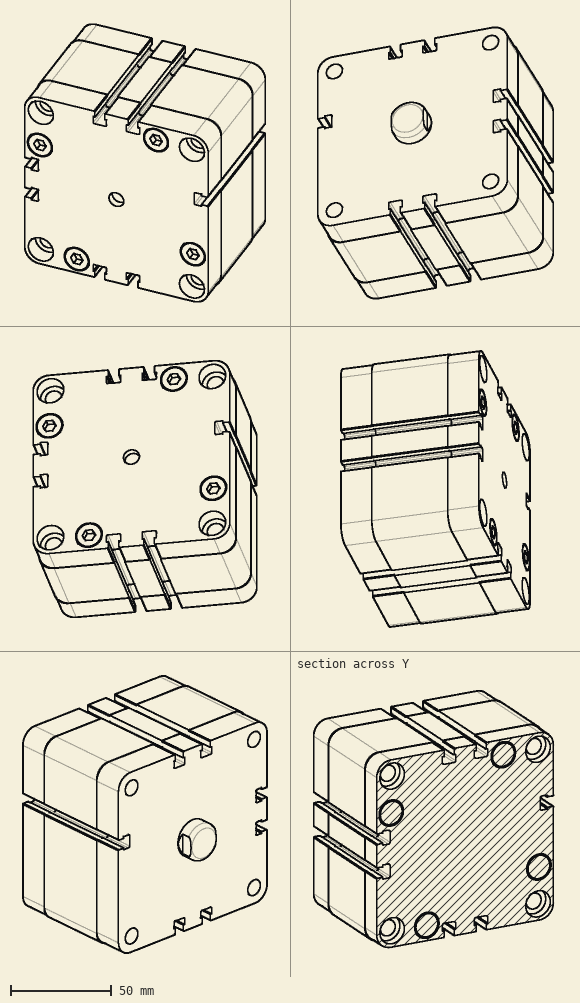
import cadquery as cq
side = 100.0
barrel_corner_radius = 7.7
cap_corner_radius = 8.0
cap_inset = 0.2
cap_side = side - 2 * cap_inset
cap_length = 16.0
barrel_length = 39.0
rod_length = 8.0
housing_length = 2 * cap_length + barrel_length
front_y = -housing_length / 2
back_y = front_y + housing_length

slot_offset = 9.0
single_slot_offset = 12.1
slot_neck_width = 5.3
slot_neck_depth = 3.6
slot_depth = 7.5
slot_width = 7.2
slot_corner_radius = 0.8
slot_mouth_chamfer = 0.4
top_turn, right_turn, bottom_turn, left_turn = 0, 90, 180, 270
slot_layout = {
    top_turn: (-slot_offset, slot_offset),
    right_turn: (-single_slot_offset,),
    bottom_turn: (-slot_offset, slot_offset),
    left_turn: (-slot_offset, slot_offset),
}

hole_pitch = 82.0
hole_diameter = 8.4
hole_recess_diameter = 13.5
hole_recess_depth = 8.6

screw_long_offset = 41.5
screw_short_offset = 21.5
screw_recess_diameter = 13.5
screw_head_diameter = 12.5
screw_head_height = 8.0
hex_corners = 6.6
hex_depth = 4.0

centre_bore_diameter = 8.0
centre_bore_depth = 4.0

rod_diameter = 20.0
rod_end_fillet = 2.0
rod_flats = 16.8
flat_ramp_start = 6.0



def prism(y):
    """Sketch plane at the given Y, with local x and y along X and Z; it extrudes toward +Y if negative."""
    return cq.Workplane("XZ", origin=(0, y, 0))


def turned(shape, angle):
    """Turn a shape about the rod axis; +90 carries the top side to the +X side."""
    return shape.rotate((0, 0, 0), (0, 1, 0), angle)


def slot_cutter(y, length, half_width, offset):
    """T-slot in the top side of a section, centred at X = offset."""
    floor_z = half_width - slot_depth
    pocket_height = slot_depth - slot_neck_depth
    neck = (
        prism(y)
        .center(offset, half_width - slot_depth / 2)
        .rect(slot_neck_width, slot_depth)
        .extrude(-length)
    )
    pocket = (
        prism(y)
        .center(offset, floor_z + pocket_height / 2)
        .rect(slot_width, pocket_height)
        .extrude(-length)
        .edges("|Y and <Z")
        .fillet(slot_corner_radius)
    )
    return neck.union(pocket)


def mouth_cutter(y, length, half_width, offset):
    """V-shaped wedge that chamfers both edges of a slot mouth in the top side."""
    wedge_half = slot_neck_width / 2 + slot_mouth_chamfer
    return (
        prism(y)
        .moveTo(offset - wedge_half, half_width)
        .lineTo(offset, half_width - wedge_half)
        .lineTo(offset + wedge_half, half_width)
        .close()
        .extrude(-length)
    )


def slotted_section(y, length, width, corner_radius, chamfered_angles):
    """Rounded block with T-slots; slot mouths are chamfered on the sides in chamfered_angles."""
    block = prism(y).rect(width, width).extrude(-length)
    block = block.edges("|Y").fillet(corner_radius)
    for angle, offsets in slot_layout.items():
        for offset in offsets:
            block = block.cut(turned(slot_cutter(y, length, width / 2, offset), angle))
            if angle in chamfered_angles:
                block = block.cut(turned(mouth_cutter(y, length, width / 2, offset), angle))
    return block


def mounting_hole_cutter():
    corners = prism(front_y).rect(hole_pitch, hole_pitch, forConstruction=True).vertices()
    through = corners.circle(hole_diameter / 2).extrude(-housing_length)
    front_recess = corners.circle(hole_recess_diameter / 2).extrude(-hole_recess_depth)
    return through.union(front_recess)


def screw_cutter():
    """Ring gaps and hexagon sockets of the four cap screws, a quarter turn apart."""
    u, v = screw_short_offset, screw_long_offset
    centres = prism(front_y).pushPoints([(u, v), (v, -u), (-u, -v), (-v, u)])
    recess = centres.circle(screw_recess_diameter / 2).extrude(-screw_head_height)
    head = centres.circle(screw_head_diameter / 2).extrude(-screw_head_height)
    socket = centres.polygon(6, hex_corners).extrude(-hex_depth)
    return recess.cut(head).union(socket)


def piston_rod():
    rod = prism(back_y).circle(rod_diameter / 2).extrude(-rod_length)
    rod = rod.faces(">Y").edges().fillet(rod_end_fillet)
    flat_x = rod_flats / 2
    rod_end_y = back_y + rod_length
    ramp_y = rod_end_y - flat_ramp_start
    outer_x = rod_diameter / 2 + rod_end_fillet
    flat_cutter = (
        cq.Workplane("XY", origin=(0, 0, -rod_diameter / 2))
        .moveTo(flat_x, rod_end_y)
        .lineTo(flat_x, ramp_y)
        .lineTo(outer_x, ramp_y - (outer_x - flat_x))
        .lineTo(outer_x, rod_end_y)
        .close()
        .extrude(rod_diameter)
    )
    return rod.cut(flat_cutter).cut(flat_cutter.mirror("YZ"))


cap_chamfers = tuple(slot_layout)
barrel_chamfers = (right_turn, left_turn)
barrel_y = front_y + cap_length
rear_cap_y = barrel_y + barrel_length
front_cap = slotted_section(front_y, cap_length, cap_side, cap_corner_radius, cap_chamfers)
barrel = slotted_section(barrel_y, barrel_length, side, barrel_corner_radius, barrel_chamfers)
rear_cap = slotted_section(rear_cap_y, cap_length, cap_side, cap_corner_radius, cap_chamfers)
housing = front_cap.union(barrel).union(rear_cap)

housing = housing.cut(mounting_hole_cutter())
housing = housing.cut(screw_cutter())
housing = housing.cut(prism(front_y).circle(centre_bore_diameter / 2).extrude(-centre_bore_depth))

result = housing.union(piston_rod())